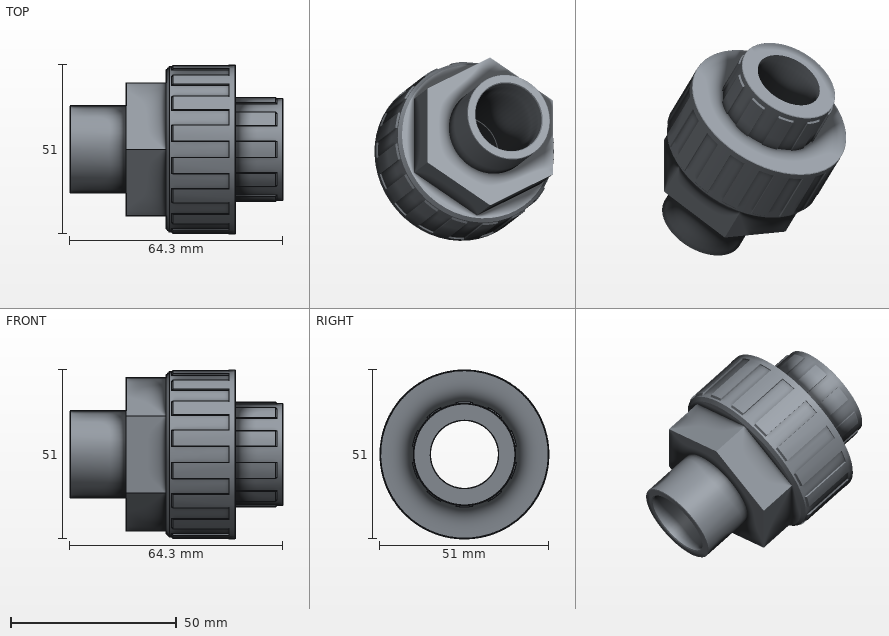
import cadquery as cq
import math


LENGTH = 64.3
HEX_START = 17.0
NUT_START = 29.05
NUT_RIB_START = 30.7
NUT_COLLAR_START = 48.0
NUT_END = 50.0
SOCKET_RIB_END = 62.5
BORE_STEP = (NUT_START + NUT_END) / 2

SPIGOT_RADIUS = 26.4 / 2
BORE_RADIUS = 21.15 / 2
BORE_MOUTH_RADIUS = 21.75 / 2
INNER_BORE_RADIUS = 20.5 / 2
END_CHAMFER = 0.2

HEX_ACROSS_FLATS = 40.1
HEX_HALF_ANGLE = 30

NUT_RADIUS = 49.95 / 2
NUT_RIB_RADIUS = 51.0 / 2
NUT_CHAMFER = 1.0
NUT_RIB_COUNT = 16
NUT_RIB_WIDTH = 360 / NUT_RIB_COUNT / 2
NUT_FIRST_RIB = NUT_RIB_WIDTH

SOCKET_RADIUS = 30.85 / 2
SOCKET_RIB_RADIUS = 15.9
SOCKET_RIB_COUNT = 10
SOCKET_RIB_WIDTH = 360 / SOCKET_RIB_COUNT / 2
SOCKET_FIRST_RIB = 0.0

RIB_EMBED = 0.65


def revolve_profile(points, angle=360.0):
    """Revolve a closed outline of (x, radius) points about the X axis."""
    return cq.Workplane("XZ").polyline(points).close().revolve(angle, (0, 0, 0), (1, 0, 0))


def add_ribs(body, profile, count, width, first_angle):
    """Fuse ribs swept through an angle of `width` degrees, the first centred at `first_angle` from +Z."""
    sector = revolve_profile(profile, width).rotate((0, 0, 0), (1, 0, 0), -width / 2)
    for index in range(count):
        angle = first_angle + index * 360 / count
        body = body.union(sector.rotate((0, 0, 0), (1, 0, 0), angle))
    return body


def make_turned_body():
    """Spigot, core of the hexagon, nut barrel with its rear collar, and socket."""
    return revolve_profile([
        (0, 0),
        (0, SPIGOT_RADIUS - END_CHAMFER),
        (END_CHAMFER, SPIGOT_RADIUS),
        (NUT_START, SPIGOT_RADIUS),
        (NUT_START, NUT_RADIUS - NUT_CHAMFER),
        (NUT_START + NUT_CHAMFER, NUT_RADIUS),
        (NUT_COLLAR_START, NUT_RADIUS),
        (NUT_COLLAR_START, NUT_RIB_RADIUS),
        (NUT_END - END_CHAMFER, NUT_RIB_RADIUS),
        (NUT_END, NUT_RIB_RADIUS - END_CHAMFER),
        (NUT_END, SOCKET_RADIUS),
        (LENGTH - END_CHAMFER, SOCKET_RADIUS),
        (LENGTH, SOCKET_RADIUS - END_CHAMFER),
        (LENGTH, 0),
    ])


def make_hexagon():
    corner_diameter = HEX_ACROSS_FLATS / math.cos(math.radians(HEX_HALF_ANGLE))
    hexagon = cq.Workplane("YZ", origin=(HEX_START, 0, 0)).polygon(6, corner_diameter)
    return hexagon.extrude(NUT_START - HEX_START).rotate((0, 0, 0), (1, 0, 0), HEX_HALF_ANGLE)


def add_nut_ribs(body):
    """Nut ribs are flush with the collar and start with a 45 degree ramp."""
    ramp_end = NUT_RIB_START + NUT_RIB_RADIUS - NUT_RADIUS
    root_radius = NUT_RADIUS - RIB_EMBED
    profile = [
        (NUT_RIB_START, root_radius),
        (NUT_RIB_START, NUT_RADIUS),
        (ramp_end, NUT_RIB_RADIUS),
        (NUT_COLLAR_START, NUT_RIB_RADIUS),
        (NUT_COLLAR_START, root_radius),
    ]
    return add_ribs(body, profile, NUT_RIB_COUNT, NUT_RIB_WIDTH, NUT_FIRST_RIB)


def add_socket_ribs(body):
    """Socket ribs run out of the nut and finish with a 45 degree ramp."""
    ramp_start = SOCKET_RIB_END - (SOCKET_RIB_RADIUS - SOCKET_RADIUS)
    root_radius = SOCKET_RADIUS - RIB_EMBED
    profile = [
        (NUT_END, root_radius),
        (NUT_END, SOCKET_RIB_RADIUS),
        (ramp_start, SOCKET_RIB_RADIUS),
        (SOCKET_RIB_END, SOCKET_RADIUS),
        (SOCKET_RIB_END, root_radius),
    ]
    return add_ribs(body, profile, SOCKET_RIB_COUNT, SOCKET_RIB_WIDTH, SOCKET_FIRST_RIB)


def make_bore():
    """Through bore with a bevelled mouth at the spigot and a shoulder inside the nut."""
    bevel_depth = BORE_MOUTH_RADIUS - BORE_RADIUS
    return revolve_profile([
        (0, 0),
        (0, BORE_MOUTH_RADIUS),
        (bevel_depth, BORE_RADIUS),
        (BORE_STEP, BORE_RADIUS),
        (BORE_STEP, INNER_BORE_RADIUS),
        (LENGTH, INNER_BORE_RADIUS),
        (LENGTH, 0),
    ])


union_fitting = make_turned_body().union(make_hexagon())
union_fitting = add_nut_ribs(union_fitting)
union_fitting = add_socket_ribs(union_fitting)
result = union_fitting.cut(make_bore())